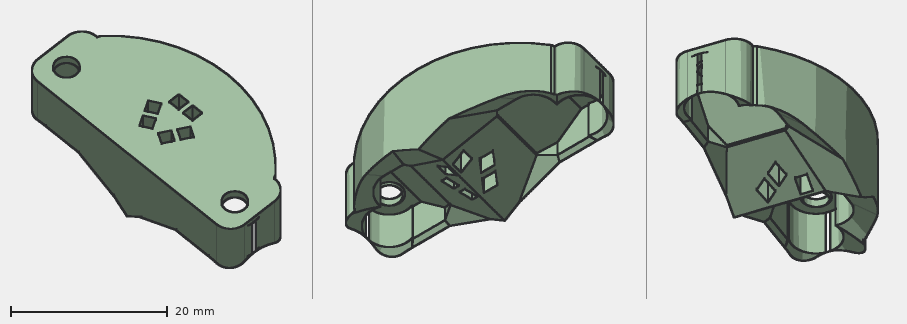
import cadquery as cq
import math

body_width = 37.6
body_depth = 18.06
body_height = 15.71
pad_depth = 10.47
pad_corner_radius = 2.55
bulge_radius = 21.2
bulge_half_width = 15.85
bulge_foot_half_width = 16.05

screw_x = 15.3
screw_y = 4.23
screw_diameter = 3.4
shelf_thickness = 1.0
shelf_lip_height = 0.3
side_slot_width = 0.6
screw_edge_distance = body_width / 2 - screw_x
counterbore_radius = math.hypot(screw_edge_distance, side_slot_width / 2)

flare_top_z = -7.3
ridge_z = -13.1
wall_slope = math.tan(math.radians(40))
flare_overrun = 1.0
flare_height = body_height + flare_top_z + flare_overrun
flare_run = flare_height / wall_slope

pocket_inner_x = (flare_top_z - ridge_z) / wall_slope
pocket_front_y = screw_y - screw_edge_distance
pocket_rear_y = 11.4
pocket_corner_radius = screw_edge_distance
pocket_corner_x = 10.66
pocket_outer_x = pocket_corner_x + pocket_corner_radius
front_bevel_x = 9.06
front_bevel_y = 2.33
rear_bevel_x = 7.52
rear_bevel_y = 10.62

roof_eave_z = -6.96
roof_height = -shelf_thickness - roof_eave_z

square_side = 1.73
square_pitch = 2.51
triangle_center_y = 7.81
triangle_inradius = 2.69


def cut_both_sides(body, left_cutter):
    """Remove a left-hand cutter and its mirror image from the body."""
    return body.cut(left_cutter).cut(left_cutter.mirror("YZ"))


def make_body():
    """Full-height block: rounded screw pads with the arc-shaped bulge behind them."""
    pads = (
        cq.Workplane("XY")
        .rect(body_width, pad_depth)
        .extrude(-body_height)
        .edges("|Z")
        .fillet(pad_corner_radius)
        .translate((0, pad_depth / 2, 0))
    )
    arc_center_y = body_depth - bulge_radius
    arc_end_y = arc_center_y + math.sqrt(bulge_radius**2 - bulge_half_width**2)
    bulge = (
        cq.Workplane("XY")
        .moveTo(-bulge_foot_half_width, pad_depth)
        .lineTo(-bulge_half_width, arc_end_y)
        .threePointArc((0, body_depth), (bulge_half_width, arc_end_y))
        .lineTo(bulge_foot_half_width, pad_depth)
        .lineTo(bulge_foot_half_width, pad_depth / 2)
        .lineTo(-bulge_foot_half_width, pad_depth / 2)
        .close()
        .extrude(-body_height)
    )
    return pads.union(bulge)


def pocket_plan():
    """Outline of the left pocket at the top of its flare."""
    return (
        cq.Workplane("XY", origin=(0, 0, flare_top_z))
        .moveTo(-pocket_outer_x, pocket_front_y)
        .lineTo(-front_bevel_x, pocket_front_y)
        .lineTo(-pocket_inner_x, front_bevel_y)
        .lineTo(-pocket_inner_x, rear_bevel_y)
        .lineTo(-rear_bevel_x, pocket_rear_y)
        .lineTo(-pocket_corner_x, pocket_rear_y)
        .tangentArcPoint((-pocket_outer_x, pocket_rear_y - pocket_corner_radius), relative=False)
        .close()
    )


def make_pocket_flare():
    """Left pocket below flare_top_z, its outline growing evenly with depth."""
    top = pocket_plan().wire().val()
    mouth = top.offset2D(flare_run, "intersection")[0].translate(cq.Vector(0, 0, -flare_height))
    return cq.Workplane(cq.Solid.makeLoft([top, mouth], True))


def make_screw_flare():
    """Cone under the left screw, with the same slope as the pocket walls."""
    cone = cq.Solid.makeCone(
        screw_edge_distance,
        screw_edge_distance + flare_run,
        flare_height,
        pnt=cq.Vector(-screw_x, screw_y, flare_top_z),
        dir=cq.Vector(0, 0, -1),
    )
    return cq.Workplane(cone)


def make_pocket_hollow():
    """Left pocket and counterbore above flare_top_z, under a 45 degree roof from the inner wall."""
    hollow_height = -shelf_thickness - flare_top_z
    counterbore = (
        cq.Workplane("XY", origin=(-screw_x, screw_y, flare_top_z))
        .circle(counterbore_radius)
        .extrude(hollow_height)
    )
    below_roof = (
        cq.Workplane("XZ")
        .moveTo(-pocket_inner_x, flare_top_z)
        .lineTo(-pocket_inner_x, roof_eave_z)
        .lineTo(-pocket_inner_x - roof_height, -shelf_thickness)
        .lineTo(-body_width, -shelf_thickness)
        .lineTo(-body_width, flare_top_z)
        .close()
        .extrude(-body_depth)
    )
    return pocket_plan().extrude(hollow_height).union(counterbore).intersect(below_roof)


def add_shelf_lips(body):
    """45 degree lip under the shelf, tapering down to the edge of each screw hole."""
    lip = cq.Workplane(
        cq.Solid.makeCone(
            screw_diameter / 2 + shelf_lip_height,
            screw_diameter / 2,
            shelf_lip_height,
            pnt=cq.Vector(-screw_x, screw_y, -shelf_thickness),
            dir=cq.Vector(0, 0, -1),
        )
    )
    return body.union(lip).union(lip.mirror("YZ"))


def make_screw_hole():
    return cq.Workplane("XY").center(-screw_x, screw_y).circle(screw_diameter / 2).extrude(-body_height)


def cut_square_holes(body):
    for angle in (0, 120, 240):
        pair = (
            cq.Workplane("XY")
            .center(0, triangle_inradius)
            .rarray(square_pitch, 1, 2, 1)
            .rect(square_side, square_side)
            .extrude(-body_height)
            .rotate((0, 0, 0), (0, 0, 1), angle)
            .translate((0, triangle_center_y, 0))
        )
        body = body.cut(pair)
    return body


result = make_body()
result = cut_both_sides(result, make_pocket_flare())
result = cut_both_sides(result, make_screw_flare())
result = cut_both_sides(result, make_pocket_hollow())
result = add_shelf_lips(result)
result = cut_both_sides(result, make_screw_hole())
result = cut_square_holes(result)